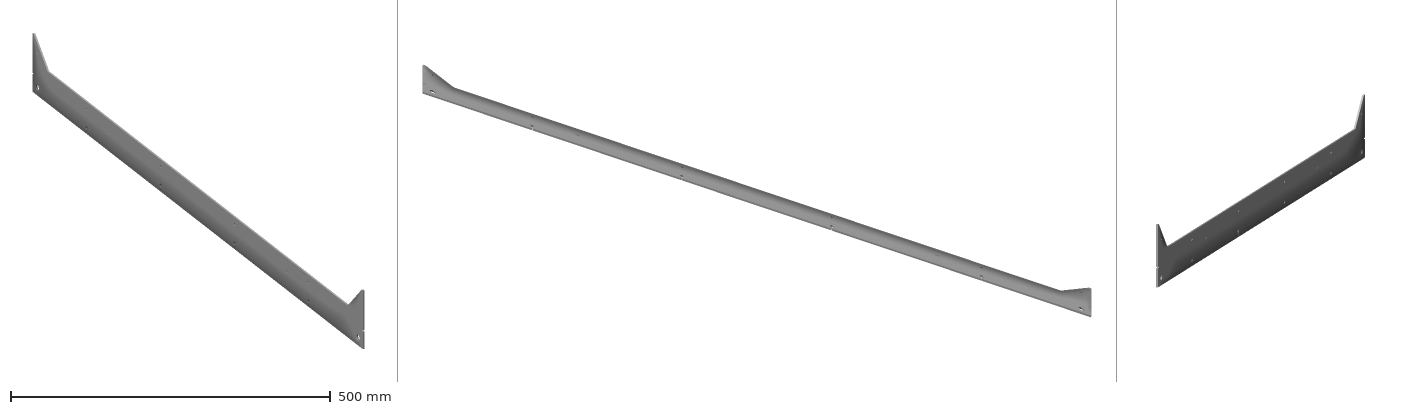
import cadquery as cq

length = 1114.0
thickness = 3.0
ear_height = 100.0
strip_height = 55.0
ear_tip_width = 5.0
ear_base_width = 51.0
ear_root_radius = 6.0

end_hole_inset = 17.0
mount_hole_diameter = 10.0
mount_hole_height = 13.0
ear_hole_diameter = 3.0
ear_hole_height = 73.0

column_pitch = 250.0
column_count = 4
upper_hole_diameter = 5.0
upper_hole_height = 42.0
keyhole_diameter = 7.0
keyhole_height = 10.0
keyhole_slit_width = 1.0

pilot_slot_length = 7.0
pilot_slot_width = 2.0
pilot_slot_offset = 300.0
middle_height = 31.0

notch_width = 2.0
notch_depth = 5.0

half_length = length / 2


def make_plate():
    """Extrude the symmetric outline and round the inner ear corners."""
    ear_base_x = half_length - ear_base_width
    ear_tip_x = half_length - ear_tip_width
    outline = [
        (-half_length, 0),
        (half_length, 0),
        (half_length, ear_height),
        (ear_tip_x, ear_height),
        (ear_base_x, strip_height),
        (-ear_base_x, strip_height),
        (-ear_tip_x, ear_height),
        (-half_length, ear_height),
    ]
    plate = cq.Workplane("XZ").polyline(outline).close().extrude(thickness / 2, both=True)
    ear_roots = cq.selectors.BoxSelector(
        (-ear_base_x - ear_tip_width, -thickness, strip_height - ear_tip_width),
        (ear_base_x + ear_tip_width, thickness, strip_height + ear_tip_width),
    )
    return plate.edges("|Y").edges(ear_roots).fillet(ear_root_radius)


def hole_cutter(places, diameter):
    """Cylinders that pass right through the plate at the given (x, z) places."""
    return cq.Workplane("XZ").pushPoints(places).circle(diameter / 2).extrude(thickness, both=True)


def slot_cutter(places, width, height):
    """Rectangular blocks that pass right through, centred at (x, z) places."""
    return cq.Workplane("XZ").pushPoints(places).rect(width, height).extrude(thickness, both=True)


def mirrored(x, z):
    return [(-x, z), (x, z)]


column_xs = [(i - (column_count - 1) / 2) * column_pitch for i in range(column_count)]
end_hole_x = half_length - end_hole_inset

result = make_plate()

result = result.cut(hole_cutter(mirrored(end_hole_x, mount_hole_height), mount_hole_diameter))
result = result.cut(hole_cutter(mirrored(end_hole_x, ear_hole_height), ear_hole_diameter))

result = result.cut(hole_cutter([(x, upper_hole_height) for x in column_xs], upper_hole_diameter))
result = result.cut(hole_cutter([(x, keyhole_height) for x in column_xs], keyhole_diameter))
slit_places = [(x, keyhole_height / 2) for x in column_xs]
result = result.cut(slot_cutter(slit_places, keyhole_slit_width, keyhole_height))

pilot_places = mirrored(pilot_slot_offset, middle_height)
result = result.cut(slot_cutter(pilot_places, pilot_slot_length, pilot_slot_width))
notch_places = mirrored(half_length, middle_height)
result = result.cut(slot_cutter(notch_places, 2 * notch_depth, notch_width))